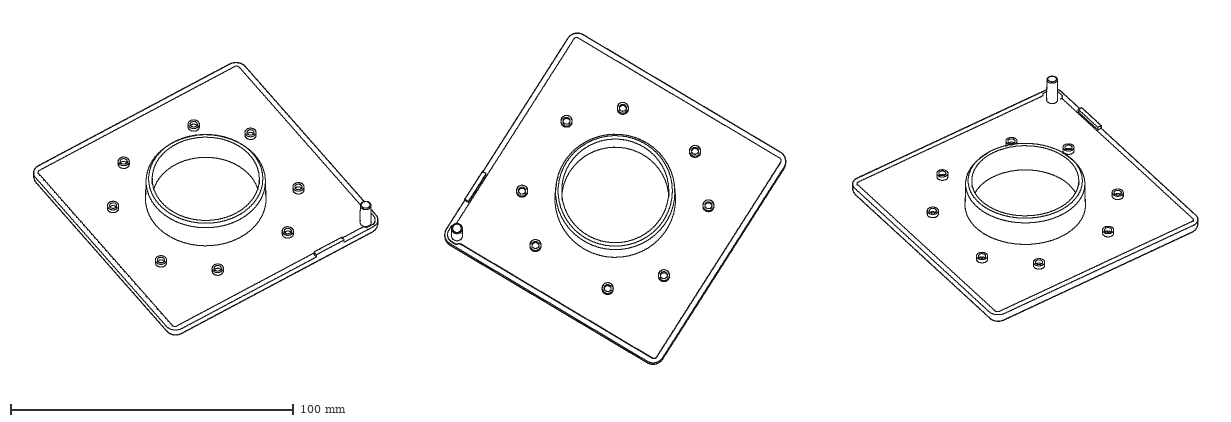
import cadquery as cq
import math

side = 90.0
corner_radius = 4.0
rim_top = 4.5
floor_top = 3.0
rim_width = 2.0
bottom_round = 2.5
cavity_corner_radius = 1.1
floor_fillet = 1.0

hub_top = 14.3
hub_base_diameter = 42.75
hub_shoulder_diameter = 42.3
hub_tip_diameter = 40.5
hub_chamfer_height = 1.4
hub_bore_diameter = 38.0

post_diameter = 4.0
post_hole_diameter = 2.5
post_near_offset = 15.0
post_far_offset = 29.5

pin_offset = 40.8
pin_top = 12.8
pin_base_diameter = 4.0
pin_tip_diameter = 3.8
pin_chamfer = 0.4

relief_rim_width = 1.0
relief_start = 37.35
relief_blend_radius = 2.0

tab_top = 5.8
tab_thickness = 1.5
tab_length = 12.0
tab_center_y = 22.7


def make_plate():
    plate = cq.Workplane("XY").box(side, side, rim_top, centered=(True, True, False))
    return plate.edges("|Z").fillet(corner_radius).faces("<Z").edges().fillet(bottom_round)


def make_relief(plane, depth):
    """Widening of the cavity at the pin corner, symmetric about the plate diagonal."""
    wall = side / 2 - rim_width
    relief_wall = side / 2 - relief_rim_width
    arc_center = side / 2 - corner_radius
    arc_radius = relief_wall - arc_center
    arc_middle = arc_center + arc_radius * math.sqrt(0.5)

    sweep = math.acos(1 - (relief_wall - wall) / relief_blend_radius)

    def shoulder_point(angle):
        along = relief_start + relief_blend_radius * math.sin(angle)
        across = wall + relief_blend_radius * (1 - math.cos(angle))
        return along, across

    start = shoulder_point(0)
    middle = shoulder_point(sweep / 2)
    end = shoulder_point(sweep)
    outline = (
        plane.moveTo(*start)
        .threePointArc(middle, end)
        .lineTo(arc_center, relief_wall)
        .threePointArc((arc_middle, arc_middle), (relief_wall, arc_center))
        .lineTo(*reversed(end))
        .threePointArc(tuple(reversed(middle)), tuple(reversed(start)))
        .lineTo(relief_start, relief_start)
        .close()
    )
    return outline.extrude(depth)


def make_cavity():
    """Space inside the rim, widened around the pin and rounded along the floor."""
    inner_side = side - 2 * rim_width
    depth = rim_top - floor_top
    plane = cq.Workplane("XY", origin=(0, 0, floor_top))
    cavity = plane.rect(inner_side, inner_side).extrude(depth)
    cavity = cavity.edges("|Z").fillet(cavity_corner_radius)
    cavity = cavity.union(make_relief(plane, depth))
    return cavity.faces("<Z").edges().fillet(floor_fillet)


def make_hub():
    shoulder = hub_top - hub_chamfer_height
    profile = [
        (hub_bore_diameter / 2, floor_top),
        (hub_base_diameter / 2, floor_top),
        (hub_shoulder_diameter / 2, shoulder),
        (hub_tip_diameter / 2, hub_top),
        (hub_bore_diameter / 2, hub_top),
    ]
    return cq.Workplane("XZ").polyline(profile).close().revolve(360, (0, 0), (0, 1))


def make_posts():
    near, far = post_near_offset, post_far_offset
    centers = [
        (sx * x, sy * y)
        for x, y in [(near, far), (far, near)]
        for sx in (-1, 1)
        for sy in (-1, 1)
    ]
    posts = cq.Workplane("XY", origin=(0, 0, floor_top)).pushPoints(centers)
    ring = posts.circle(post_diameter / 2).extrude(rim_top - floor_top)
    holes = posts.circle(post_hole_diameter / 2).extrude(rim_top - floor_top)
    return ring.cut(holes)


def make_pin():
    pin = (
        cq.Workplane("XY", origin=(pin_offset, pin_offset, floor_top))
        .circle(pin_base_diameter / 2)
        .workplane(offset=pin_top - floor_top)
        .circle(pin_tip_diameter / 2)
        .loft()
    )
    return pin.faces(">Z").edges().chamfer(pin_chamfer)


def make_tab():
    tab_bottom = floor_top
    return cq.Workplane("XY").box(
        tab_thickness, tab_length, tab_top - tab_bottom, centered=(False, True, False)
    ).translate((side / 2 - tab_thickness, tab_center_y, tab_bottom))


result = make_plate().cut(make_cavity())
for feature in (make_hub(), make_posts(), make_pin(), make_tab()):
    result = result.union(feature)